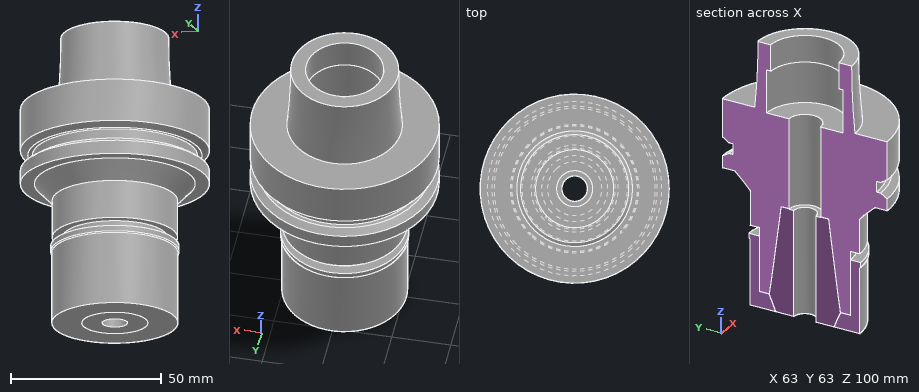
import cadquery as cq


total_height = 100.0
spigot_bottom_z = 6.0
nut_top_z = 27.0

shank_length = 25.0
shank_top_radius = 18.0
shank_base_radius = 19.25
shank_middle_radius = shank_top_radius + (shank_base_radius - shank_top_radius) / 4
shank_base_z = total_height - shank_length

flange_radius = 31.5
flange_bottom_z = 48.9
groove_radius = 27.5
groove_bottom_z = 55.1
groove_top_z = 58.9
groove_chamfer_width = 2.5
groove_chamfer_height = 1.6
groove_mouth_radius = flange_radius - groove_chamfer_width

body_radius = 20.9
cone_bottom_z = 43.0
cone_top_radius = body_radius + flange_bottom_z - cone_bottom_z
body_bottom_z = 30.0
spigot_radius = 17.5

clamp_bore_radius = 13.0
undercut_radius = 14.5
undercut_top_z = total_height - 10.0
bore_floor_z = total_height - 26.0
passage_radius = 6.0

nut_radius = 21.0
nut_rim_radius = 21.4
nut_rim_bottom_z = 25.1
nut_rim_chamfer_height = 0.4
nut_rim_foot_z = nut_rim_bottom_z - nut_rim_chamfer_height

collet_top_z = 40.0
collet_top_radius = 9.0
collet_shoulder_radius = 13.5
collet_face_radius = 11.0
collet_hole_radius = 4.2


def revolve_profile(profile):
    """Close a (radius, height) profile and turn it about the Z axis."""
    return profile.close().revolve(360, (0, 0, 0), (0, 1, 0))


def make_holder():
    shank_and_flange = (
        cq.Workplane("XZ")
        .moveTo(clamp_bore_radius, total_height)
        .lineTo(shank_top_radius, total_height)
        .threePointArc(
            (shank_middle_radius, total_height - shank_length / 2),
            (shank_base_radius, shank_base_z),
        )
        .lineTo(flange_radius, shank_base_z)
        .lineTo(flange_radius, groove_top_z + groove_chamfer_height)
        .lineTo(groove_mouth_radius, groove_top_z)
        .lineTo(groove_radius, groove_top_z)
        .lineTo(groove_radius, groove_bottom_z)
        .lineTo(groove_mouth_radius, groove_bottom_z)
        .lineTo(flange_radius, groove_bottom_z - groove_chamfer_height)
        .lineTo(flange_radius, flange_bottom_z)
    )
    body_and_spigot = (
        shank_and_flange
        .lineTo(cone_top_radius, flange_bottom_z)
        .lineTo(body_radius, cone_bottom_z)
        .lineTo(body_radius, body_bottom_z)
        .lineTo(spigot_radius, body_bottom_z)
        .lineTo(spigot_radius, spigot_bottom_z)
    )
    collet_seat_and_bore = (
        body_and_spigot
        .lineTo(collet_shoulder_radius, spigot_bottom_z)
        .lineTo(collet_top_radius, collet_top_z)
        .lineTo(passage_radius, collet_top_z)
        .lineTo(passage_radius, bore_floor_z)
        .lineTo(undercut_radius, bore_floor_z)
        .lineTo(undercut_radius, undercut_top_z)
        .lineTo(clamp_bore_radius, undercut_top_z)
    )
    return revolve_profile(collet_seat_and_bore)


def make_nut():
    profile = (
        cq.Workplane("XZ")
        .moveTo(collet_face_radius, 0)
        .lineTo(nut_radius, 0)
        .lineTo(nut_radius, nut_rim_foot_z)
        .lineTo(nut_rim_radius, nut_rim_bottom_z)
        .lineTo(nut_rim_radius, nut_top_z)
        .lineTo(spigot_radius, nut_top_z)
        .lineTo(spigot_radius, spigot_bottom_z)
        .lineTo(collet_shoulder_radius, spigot_bottom_z)
    )
    return revolve_profile(profile)


def make_collet():
    profile = (
        cq.Workplane("XZ")
        .moveTo(collet_hole_radius, 0)
        .lineTo(collet_face_radius, 0)
        .lineTo(collet_shoulder_radius, spigot_bottom_z)
        .lineTo(collet_top_radius, collet_top_z)
        .lineTo(collet_hole_radius, collet_top_z)
    )
    return revolve_profile(profile)


holder = make_holder()
nut = make_nut()
collet = make_collet()

result = cq.Compound.makeCompound([holder.val(), nut.val(), collet.val()])